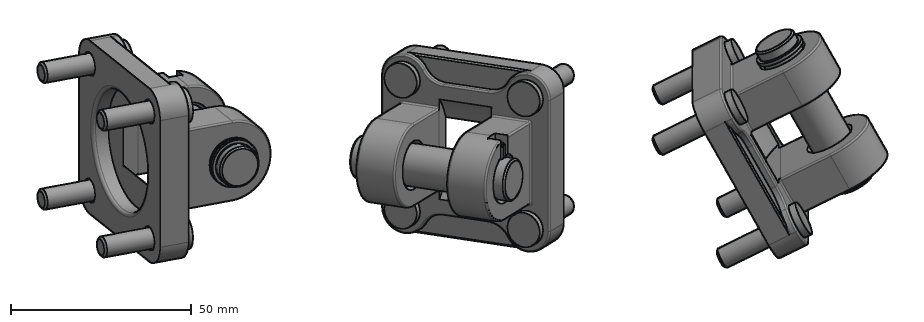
import cadquery as cq
import math


flange_side = 52.0
flange_thickness = 9.0
screw_pitch = 38.0
screw_offset = screw_pitch / 2
corner_radius = (flange_side - screw_pitch) / 2
edge_rounding = 0.5
ledge_drop = 2.0
ledge_level = flange_thickness - ledge_drop
bend_angle = math.radians(60)
bore_diameter = 35.0
bore_depth = 5.0
bore_rounding = 1.0
clearance_diameter = 6.8

pin_diameter = 12.0
pin_axis_y = 25.0
lug_radius = pin_diameter
lug_thickness = pin_diameter
lug_gap = 16.0
lug_inner_x = lug_gap / 2
lug_outer_x = lug_inner_x + lug_thickness
lug_rounding = 0.5
foot_rounding = 0.5
eye_chamfer = 1.0
sweep_radius = 21.65
pin_start_x = -22.95
pin_end_x = 25.0
pin_chamfer = 0.5

ring_diameter = 14.0
ring_seat_diameter = 11.5
ring_width = 1.0
ring_start_x = 21.0

sleeve_diameter = 4.0
sleeve_bore = 1.8
sleeve_chamfer = 0.5
sleeve_slot = 1.0
sleeve_top_z = 10.0
sleeve_x = sleeve_diameter / 2 - lug_outer_x
notch_width = 4.35

shank_diameter = 6.0
shank_reach = 15.0
tip_chamfer = 0.6
head_diameter = 10.0
head_height = 2.1

screw_places = [(x, z) for x in (-screw_offset, screw_offset) for z in (-screw_offset, screw_offset)]


def cylinder_y(diameter, start_y, end_y, x=0.0, z=0.0):
    solid = cq.Solid.makeCylinder(diameter / 2, end_y - start_y, cq.Vector(x, start_y, z), cq.Vector(0, 1, 0))
    return cq.Workplane(obj=solid)


def cylinder_x(diameter, start_x, end_x):
    """Cylinder on the clevis pin axis."""
    base = cq.Vector(start_x, pin_axis_y, 0)
    return cq.Workplane(obj=cq.Solid.makeCylinder(diameter / 2, end_x - start_x, base, cq.Vector(1, 0, 0)))


def ledge_cutter(side):
    """Space above the ledge on the +Z (side = 1) or -Z (side = -1) edge of the flange."""
    half_floor = screw_offset - 2 * corner_radius * math.sin(bend_angle)
    floor_z = screw_offset + corner_radius * (2 * math.cos(bend_angle) - 1)

    def boss_point(angle):
        """Point on the rounding around a screw, with the angle measured from Z towards the middle."""
        return (
            screw_offset - corner_radius * math.sin(angle),
            screw_offset + corner_radius * math.cos(angle),
        )

    def hollow_point(angle):
        """Point on the hollow arc, with the angle measured from the floor tangent."""
        return (
            half_floor + corner_radius * math.sin(angle),
            floor_z + corner_radius * (1 - math.cos(angle)),
        )

    def place(point, mirror=1):
        return (mirror * point[0], side * point[1])

    half_bend = bend_angle / 2
    outline = (
        cq.Workplane("XZ", origin=(0, ledge_level, 0))
        .moveTo(*place((half_floor, floor_z), -1))
        .lineTo(*place((half_floor, floor_z)))
        .threePointArc(place(hollow_point(half_bend)), place(boss_point(bend_angle)))
        .threePointArc(place(boss_point(half_bend)), place(boss_point(0)))
        .lineTo(*place(boss_point(0), -1))
        .threePointArc(place(boss_point(half_bend), -1), place(boss_point(bend_angle), -1))
        .threePointArc(place(hollow_point(half_bend), -1), place((half_floor, floor_z), -1))
        .close()
    )
    return outline.extrude(-ledge_drop)


def make_flange():
    flange = (
        cq.Workplane("XZ")
        .rect(flange_side, flange_side)
        .extrude(-flange_thickness)
        .edges("|Y")
        .fillet(corner_radius)
    )
    for side in (1, -1):
        flange = flange.cut(ledge_cutter(side), clean=False)
    flange = flange.faces(">Y").edges().fillet(edge_rounding)
    for side in (1, -1):
        flange = flange.cut(ledge_edge_cutter(side), clean=False)
    return flange


def ledge_edge_cutter(side):
    """Bevel along the outer edge of a ledge, running out against the corner roundings."""
    edge_z = side * flange_side / 2
    bevel = (
        cq.Workplane("YZ", origin=(-screw_offset, 0, 0))
        .moveTo(ledge_level, edge_z - side * edge_rounding)
        .lineTo(ledge_level, edge_z)
        .lineTo(ledge_level - edge_rounding, edge_z)
        .close()
        .extrude(screw_pitch)
    )
    for x in (-screw_offset, screw_offset):
        bevel = bevel.cut(cylinder_y(2 * corner_radius, 0, flange_thickness, x, side * screw_offset))
    return bevel


def make_lug(start_x):
    """Lug with a round end around the pin axis, between start_x and start_x + lug_thickness."""
    lug = (
        cq.Workplane("YZ", origin=(start_x, 0, 0))
        .moveTo(ledge_level, -lug_radius)
        .lineTo(pin_axis_y, -lug_radius)
        .threePointArc((pin_axis_y + lug_radius, 0), (pin_axis_y, lug_radius))
        .lineTo(ledge_level, lug_radius)
        .close()
        .extrude(lug_thickness)
    )
    outline_edges = lug.faces("<X or >X").edges("not(<Y)")
    return outline_edges.fillet(lug_rounding)


def make_eye(start_x):
    """Pin hole through a lug, countersunk at both ends."""
    end_x = start_x + lug_thickness
    mouth_radius = pin_diameter / 2 + eye_chamfer
    eye = cylinder_x(pin_diameter, start_x, end_x)
    for face_x, inward in ((start_x, 1), (end_x, -1)):
        mouth = cq.Solid.makeCone(
            mouth_radius,
            pin_diameter / 2,
            eye_chamfer,
            cq.Vector(face_x, pin_axis_y, 0),
            cq.Vector(inward, 0, 0),
        )
        eye = eye.union(cq.Workplane(obj=mouth))
    return eye


def make_front_openings():
    """Bore with a rounded mouth, and screw holes."""
    bore_radius = bore_diameter / 2
    mouth_radius = bore_radius + bore_rounding
    slant = bore_rounding * (1 - math.sqrt(0.5))
    openings = (
        cq.Workplane("XY")
        .lineTo(mouth_radius, 0)
        .threePointArc((bore_radius + slant, slant), (bore_radius, bore_rounding))
        .lineTo(bore_radius, bore_depth)
        .lineTo(0, bore_depth)
        .close()
        .revolve(360, (0, 0, 0), (0, 1, 0))
    )
    for x, z in screw_places:
        openings = openings.union(cylinder_y(clearance_diameter, 0, flange_thickness, x, z))
    return openings


def make_window():
    """Round-bottomed clearance between the lugs, deep enough to break through into the bore."""
    return cylinder_x(2 * sweep_radius, -lug_inner_x, lug_inner_x)


def make_notch():
    """Notch for the locking sleeve, from the pin hole out through the round of the -X lug."""
    notch = cq.Workplane("XY", origin=(sleeve_x, pin_axis_y, 0)).rect(sleeve_diameter, notch_width)
    return notch.extrude(lug_radius)


def foot_selector():
    """Picks the edges where the lugs stand on the flange back."""
    margin = 0.05
    low_corner = (-lug_outer_x - margin, flange_thickness - margin, -lug_radius - margin)
    high_corner = (lug_outer_x + margin, flange_thickness + margin, lug_radius + margin)
    return cq.selectors.BoxSelector(low_corner, high_corner, boundingbox=True)


def make_housing():
    housing = make_flange()
    lug_starts = (-lug_outer_x, lug_inner_x)
    for start_x in lug_starts:
        housing = housing.union(make_lug(start_x), clean=False)
    foot_edges = housing.edges(foot_selector()).vals()
    housing = cq.Workplane(obj=housing.solids().val().fillet(foot_rounding, foot_edges))
    cutters = [make_eye(start_x) for start_x in lug_starts] + [make_front_openings(), make_window(), make_notch()]
    for cutter in cutters:
        housing = housing.cut(cutter, clean=False)
    return housing


def make_clevis_pin():
    pin = cylinder_x(pin_diameter, pin_start_x, pin_end_x).faces("<X or >X").chamfer(pin_chamfer)
    return pin.cut(make_retaining_ring()).union(make_locking_sleeve())


def make_retaining_ring():
    ring_end_x = ring_start_x + ring_width
    seat = cylinder_x(ring_seat_diameter, ring_start_x, ring_end_x)
    return cylinder_x(ring_diameter, ring_start_x, ring_end_x).cut(seat)


def make_locking_sleeve():
    sleeve = (
        cq.Workplane("XY", origin=(sleeve_x, pin_axis_y, 0))
        .circle(sleeve_diameter / 2)
        .extrude(sleeve_top_z)
        .faces(">Z")
        .chamfer(sleeve_chamfer)
    )
    opening = (
        cq.Workplane("XY", origin=(sleeve_x, pin_axis_y, 0))
        .circle(sleeve_bore / 2)
        .extrude(sleeve_top_z)
        .union(
            cq.Workplane("XY", origin=(sleeve_x - sleeve_diameter / 2, pin_axis_y, 0))
            .rect(sleeve_diameter, sleeve_slot)
            .extrude(sleeve_top_z)
        )
    )
    return sleeve.cut(opening)


def make_screw(x, z):
    shank = cylinder_y(shank_diameter, -shank_reach, flange_thickness, x, z).faces("<Y").chamfer(tip_chamfer)
    return shank.union(cylinder_y(head_diameter, flange_thickness, flange_thickness + head_height, x, z))


housing = make_housing()
clevis_pin = make_clevis_pin()
retaining_ring = make_retaining_ring()
screws = [make_screw(x, z) for x, z in screw_places]

result = cq.Compound.makeCompound(
    [housing.val(), clevis_pin.val(), retaining_ring.val(), *[screw.val() for screw in screws]]
)